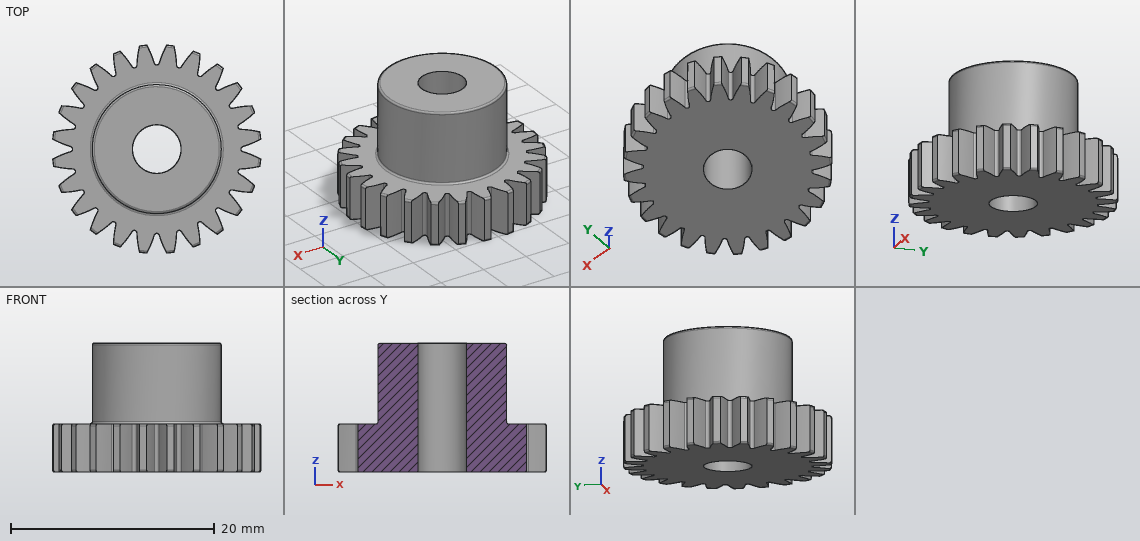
import math

import cadquery as cq

INCH = 25.4

TEETH = 24
DIAMETRAL_PITCH = 32.0
PRESSURE_ANGLE = math.radians(20.0)
OUTSIDE_RADIUS = 0.405 * INCH
ROOT_RADIUS = 8.29

FACE_WIDTH = 3 / 16 * INCH
TOTAL_HEIGHT = 0.5 * INCH
HUB_RADIUS = 0.25 * INCH
BORE_RADIUS = 3 / 32 * INCH
EDGE_ROUND = 0.008 * INCH

PITCH_RADIUS = TEETH * INCH / DIAMETRAL_PITCH / 2
FLANK_RADIUS = PITCH_RADIUS
TOOTH_ANGLE = 2 * math.pi / TEETH
HALF_GAP_ANGLE = TOOTH_ANGLE / 4

CUT_CLEARANCE = 1.0


def make_blank():
    """Gear disc and hub, with rounded rims and a filleted hub base."""
    disc = cq.Workplane("XY").circle(OUTSIDE_RADIUS).extrude(FACE_WIDTH)
    disc = disc.edges("%CIRCLE").fillet(EDGE_ROUND)
    hub = cq.Workplane("XY").circle(HUB_RADIUS).extrude(TOTAL_HEIGHT)
    hub = hub.faces(">Z").edges().fillet(EDGE_ROUND)
    blank = disc.union(hub)

    upper_face = blank.faces(cq.selectors.NearestToPointSelector((0.0, 0.0, FACE_WIDTH)))
    return upper_face.edges(cq.selectors.RadiusNthSelector(0)).fillet(EDGE_ROUND)


def make_gap_cutter():
    """Tooth gap centred on +X: arc flanks running tangent into a full round at the root."""
    slope = PRESSURE_ANGLE + HALF_GAP_ANGLE
    flank_x = PITCH_RADIUS * math.cos(HALF_GAP_ANGLE) - FLANK_RADIUS * math.sin(slope)
    flank_y = PITCH_RADIUS * math.sin(HALF_GAP_ANGLE) + FLANK_RADIUS * math.cos(slope)

    offset_x = flank_x - ROOT_RADIUS
    root_round = (flank_y**2 + offset_x**2 - FLANK_RADIUS**2) / (2 * (FLANK_RADIUS + offset_x))
    root_centre_x = ROOT_RADIUS + root_round
    tangent_share = root_round / (FLANK_RADIUS + root_round)
    tangent_x = root_centre_x + (flank_x - root_centre_x) * tangent_share
    tangent_y = flank_y * tangent_share

    def flank_point(x):
        """Point on the flank arc at a given X."""
        return x, flank_y - math.sqrt(FLANK_RADIUS**2 - (x - flank_x) ** 2)

    def mirrored(point):
        """Matching point on the opposite flank."""
        return point[0], -point[1]

    outer = flank_point(OUTSIDE_RADIUS + CUT_CLEARANCE)
    middle = flank_point(PITCH_RADIUS)
    tangent = (tangent_x, tangent_y)
    return (
        cq.Workplane("XY")
        .workplane(offset=-CUT_CLEARANCE)
        .moveTo(*outer)
        .threePointArc(middle, tangent)
        .threePointArc((ROOT_RADIUS, 0.0), mirrored(tangent))
        .threePointArc(mirrored(middle), mirrored(outer))
        .close()
        .extrude(FACE_WIDTH + 2 * CUT_CLEARANCE)
    )


def cut_teeth(blank):
    """Cut the evenly spaced tooth gaps, one of them on +X."""
    gap = make_gap_cutter()
    for index in range(TEETH):
        angle = math.degrees(index * TOOTH_ANGLE)
        blank = blank.cut(gap.rotate((0, 0, 0), (0, 0, 1), angle))
    return blank


def cut_bore(gear):
    """Plain bore through disc and hub."""
    return gear.cut(cq.Workplane("XY").circle(BORE_RADIUS).extrude(TOTAL_HEIGHT))


result = cut_bore(cut_teeth(make_blank()))